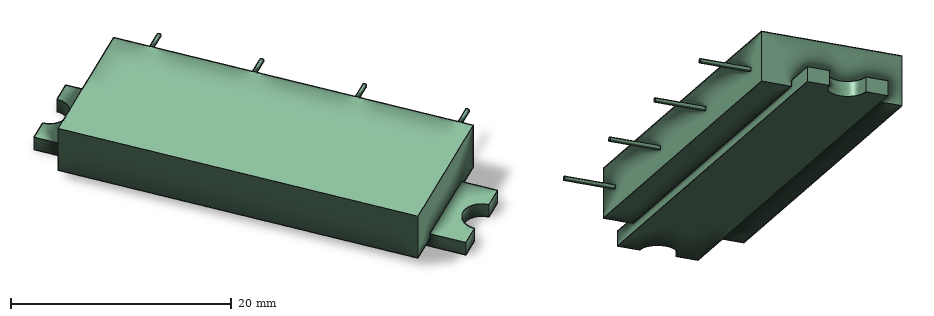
import cadquery as cq

overall_length = 42.0
flange_width = 8.02
flange_thickness = 1.45
notch_diameter = 3.6

body_length = 35.0
body_width = 14.0
body_bottom = 0.9
overall_height = 5.8

overall_width = 19.0
pin_count = 4
pin_pitch = 10.0
pin_diameter = 0.4
pin_axis_height = 3.0
pin_length = overall_width - body_width
pin_embed = 0.4


def make_flange():
    """Flat bar with a half-round screw notch in each end."""
    bar = cq.Workplane("XY").box(overall_length, flange_width, flange_thickness, centered=(True, True, False))
    notches = (
        cq.Workplane("XY")
        .pushPoints([(-overall_length / 2, 0), (overall_length / 2, 0)])
        .circle(notch_diameter / 2)
        .extrude(flange_thickness)
    )
    return bar.cut(notches)


def make_body():
    """Plain block whose underside sits below the top of the flange."""
    return (
        cq.Workplane("XY")
        .workplane(offset=body_bottom)
        .box(body_length, body_width, overall_height - body_bottom, centered=(True, True, False))
    )


def make_pins():
    """Evenly spaced pins, centred on the length of the body."""
    first_x = -pin_pitch * (pin_count - 1) / 2
    pin_points = [(first_x + i * pin_pitch, pin_axis_height) for i in range(pin_count)]
    return (
        cq.Workplane("XZ")
        .workplane(offset=-(body_width / 2 - pin_embed))
        .pushPoints(pin_points)
        .circle(pin_diameter / 2)
        .extrude(-(pin_length + pin_embed))
    )


result = make_flange().union(make_body()).union(make_pins())